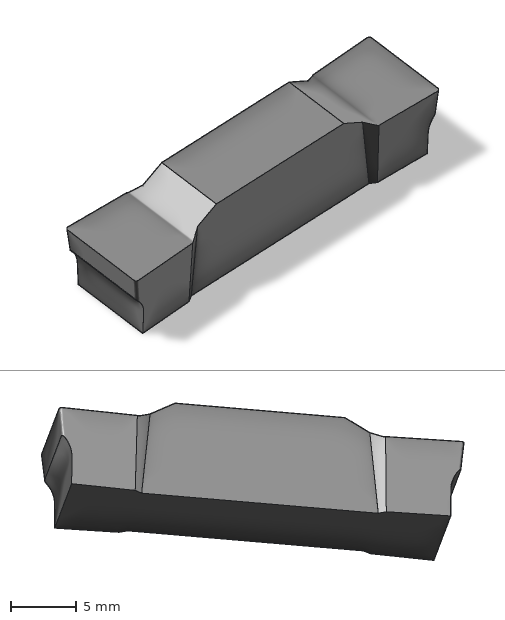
import cadquery as cq
import math

length = 31.52
height = 8.07
body_width = 6.2
head_height = 6.37

front_width = 8.05
side_taper = 2.4
side_draft = 2.8
corner_radius = 0.25

relief_depth = 0.22
relief_bottom = 4.1
undercut_depth = 1.0
undercut_bottom = 2.27

neck_distance = 7.15
bevel_angle = 32.0
bevel_draft = 5.4
ramp_distance = 6.2
ramp_angle = 30.0
ramp_foot_radius = 0.4

half_length = length / 2
half_body = body_width / 2
relief_slope = relief_depth / (head_height - relief_bottom)
taper_slope = math.tan(math.radians(side_taper))
draft_slope = math.tan(math.radians(side_draft))
bevel_slope = math.tan(math.radians(bevel_angle))
bevel_draft_slope = math.tan(math.radians(bevel_draft))


def bevel_end(z):
    """Return the Y position where the bevel meets the body side at height z."""
    return half_length - neck_distance - bevel_draft_slope * (z - head_height)


def head_neck(z):
    """Return the point where the head side meets the bevel at height z."""
    head_x_at_center = front_width / 2 - taper_slope * half_length + draft_slope * (z - head_height)
    bevel_x_at_center = half_body - bevel_slope * bevel_end(z)
    y = (head_x_at_center - bevel_x_at_center) / (bevel_slope - taper_slope)
    return head_x_at_center + taper_slope * y, y


def plan_points(z):
    """Return the plan outline at height z, counter-clockwise from the +X, -Y corner."""
    front_y = half_length + relief_slope * (z - head_height)
    neck_x, neck_y = head_neck(z)
    front_x = neck_x + taper_slope * (front_y - neck_y)
    quarter = [(front_x, front_y), (neck_x, neck_y), (half_body, bevel_end(z))]
    right = [(x, -y) for x, y in quarter] + quarter[::-1]
    left = [(-x, -y) for x, y in right]
    return right + left


def tapered_blank():
    """Full-height blank with drafted sides, bevels and rounded cutting corners."""
    blank = (
        cq.Workplane("XY").polyline(plan_points(0)).close()
        .workplane(offset=height).polyline(plan_points(height)).close()
        .loft(ruled=True)
    )
    for x_side in (-1, 1):
        for y_side in (-1, 1):
            corner = (x_side * front_width / 2, y_side * half_length, height / 2)
            blank = blank.edges(cq.selectors.NearestToPointSelector(corner)).fillet(corner_radius)
    return blank


def ramp_cutter():
    """Material above one head, bounded by the flat top and the filleted ramp."""
    foot_y = half_length - ramp_distance
    ramp_run = (height - head_height) / math.tan(math.radians(ramp_angle))
    cutter = (
        cq.Workplane("YZ")
        .moveTo(length, head_height)
        .lineTo(foot_y, head_height)
        .lineTo(foot_y - ramp_run, height)
        .lineTo(length, height)
        .close()
        .extrude(front_width, both=True)
    )
    foot = cq.selectors.NearestToPointSelector((0, foot_y, head_height))
    return cutter.edges(foot).fillet(ramp_foot_radius)


def undercut_cutter():
    """Material below one cutting edge, with a concave arc above a vertical wall."""
    wall_y = half_length - undercut_depth
    lip_y = half_length - relief_depth
    return (
        cq.Workplane("YZ")
        .moveTo(wall_y, 0)
        .lineTo(wall_y, undercut_bottom)
        .tangentArcPoint((lip_y, relief_bottom), relative=False)
        .lineTo(length, relief_bottom)
        .lineTo(length, 0)
        .close()
        .extrude(front_width, both=True)
    )


result = tapered_blank()
for cutter in (ramp_cutter(), undercut_cutter()):
    result = result.cut(cutter).cut(cutter.mirror("XZ"))